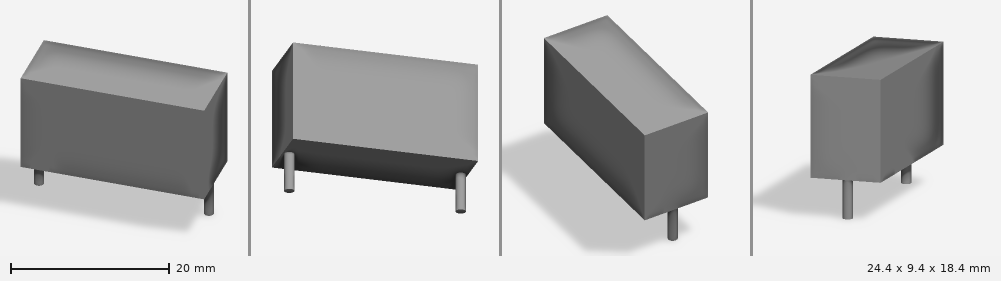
import cadquery as cq

housing_length = 24.4
housing_width = 9.4
overall_height = 18.4
lead_length = 5.1
housing_height = overall_height - lead_length

lead_diameter = 1.3
lead_pitch = 22.6


def make_housing():
    """Plain rectangular block standing on Z = 0."""
    return cq.Workplane("XY").box(
        housing_length, housing_width, housing_height, centered=(True, True, False)
    )


def make_lead(x_position):
    """Straight round lead that touches the underside of the housing and points down."""
    return (
        cq.Workplane("XY")
        .center(x_position, 0)
        .circle(lead_diameter / 2)
        .extrude(-lead_length)
    )


housing = make_housing()
leads = [make_lead(side * lead_pitch / 2) for side in (-1, 1)]

result = cq.Compound.makeCompound([housing.val(), *[lead.val() for lead in leads]])